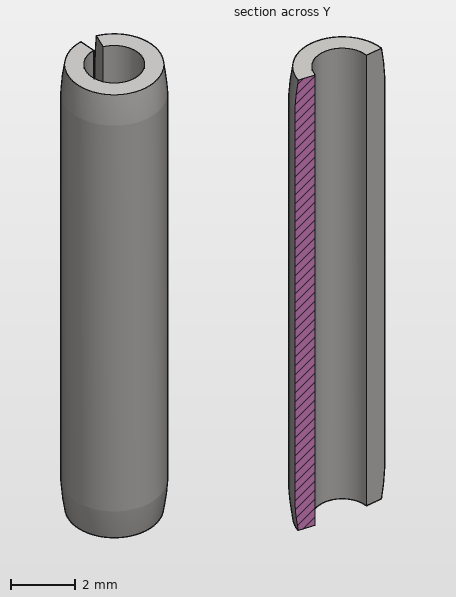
import cadquery as cq
import math

length = 17.46
outer_radius = 3.33 / 2
bore_radius = 0.945
slot_half_angle = math.radians(10.5)

lead_in_length = 1.13
lead_in_depth = 0.125
lead_in_bulge = 0.02


def make_tube():
    """Revolve the wall section, with both barrelled ends, about the Z axis."""
    end_radius = outer_radius - lead_in_depth
    section = (
        cq.Workplane("XZ")
        .moveTo(bore_radius, 0)
        .lineTo(end_radius, 0)
        .sagittaArc((outer_radius, lead_in_length), -lead_in_bulge)
        .lineTo(outer_radius, length - lead_in_length)
        .sagittaArc((end_radius, length), -lead_in_bulge)
        .lineTo(bore_radius, length)
        .close()
    )
    return section.revolve(360, (0, 0, 0), (0, 1, 0))


def make_slot_wedge():
    """Full-length wedge with its apex on the axis, giving the slot radial walls."""
    reach = 2 * outer_radius
    half_width = reach * math.tan(slot_half_angle)
    return (
        cq.Workplane("XY")
        .polyline([(0, 0), (-reach, half_width), (-reach, -half_width)])
        .close()
        .extrude(length)
    )


result = make_tube().cut(make_slot_wedge())